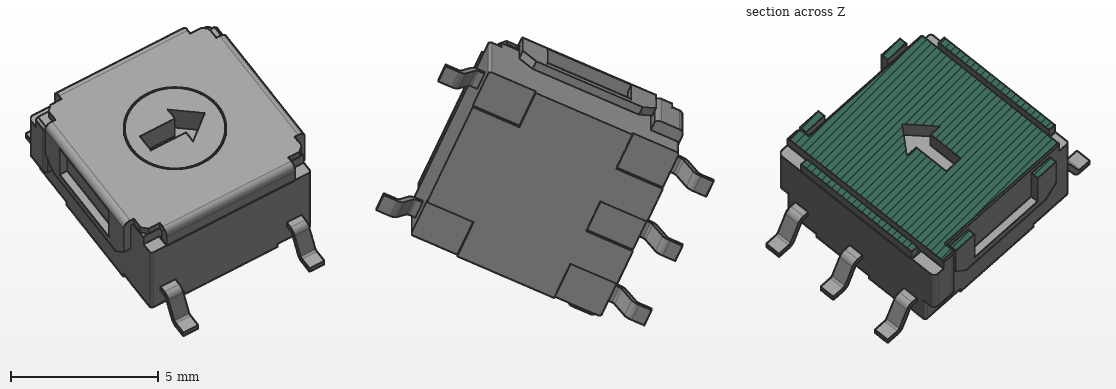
import cadquery as cq
import math

overall_length = 10.0
overall_width = 7.3
overall_height = 4.12

body_length = 7.1
body_width = 6.45
body_bottom = 0.04
body_corner_radius = 0.1
core_length = 6.18
shelf_z = 3.34
top_edge_chamfer = 0.1

wing_bottom = 1.34
wing_length = 1.07
wing_corner_radius = 0.2
wing_inner_radius = 0.25
wing_round_overrun = 0.05

recess_depth = 0.17
corner_recess_length = 1.74
corner_recess_width = 1.35
middle_recess_length = corner_recess_length
middle_recess_width = 1.17

sheet = 0.3
bend_radius = 0.27
cover_plate_length = 6.22
cover_plate_width = 6.48
cover_corner_chamfer = 0.2
end_tab_width = 5.18
end_tab_bottom = shelf_z
end_tab_gap = 0.035
side_tab_width = 4.97
side_tab_bottom = 2.01
side_tab_chamfer = 0.5
window_length = 3.12
window_bottom = 2.34

rotor_diameter = 3.4
cover_hole_diameter = 3.5
arrow_tip_y = 1.2
arrow_shoulder_y = 0.22
arrow_tail_y = -1.19
arrow_head_width = 1.6
arrow_stem_width = 0.7
arrow_depth = 1.0

lead_width = 0.6
lead_thickness = 0.2
lead_pitch = 2.54
lead_top = 1.17
lead_bend_x = 3.97
lead_slope = 2.0
lead_inner_radius = 0.1
lead_root_x = 3.0

body_top = overall_height - sheet
wing_inner_x = wing_length - body_length / 2
lead_tip_x = overall_length / 2
lead_outer_radius = lead_inner_radius + lead_thickness


def block(x_size, y_size, z_low, z_high, x=0.0, y=0.0):
    """Box centred on (x, y) between two heights."""
    base = cq.Workplane("XY", origin=(x, y, z_low))
    return base.rect(x_size, y_size).extrude(z_high - z_low)


def housing():
    lower = block(body_length, body_width, body_bottom, shelf_z)
    lower = lower.edges("|Z").fillet(body_corner_radius)
    core = block(core_length, body_width, shelf_z, body_top)
    core = core.faces(">Z").edges("|X").chamfer(top_edge_chamfer)
    return lower.union(core)


def wings():
    """Full-width bar on the -X side whose two ends form the corner wings."""
    wing_x = (wing_inner_x - body_length / 2) / 2
    full_length = wing_length + wing_round_overrun
    full_x = wing_x + wing_round_overrun / 2
    bar = block(full_length, overall_width, wing_bottom, body_top, full_x)
    bar = bar.edges("|Z and <X").fillet(wing_corner_radius)
    bar = bar.edges("|Z and >X").fillet(wing_inner_radius)
    bar = bar.faces(">Z").edges().chamfer(top_edge_chamfer)
    trim = block(wing_length, overall_width, wing_bottom, body_top, wing_x)
    bar = bar.intersect(trim.edges(">Z and >X").chamfer(top_edge_chamfer))
    step_width = (body_length - core_length) / 2
    step_x = -(body_length + core_length) / 4
    return bar.cut(block(step_width, overall_width, shelf_z, body_top, step_x))


def end_tab_clearances():
    bar = block(body_length, end_tab_width, shelf_z - end_tab_gap, shelf_z)
    return bar.cut(block(core_length, end_tab_width, shelf_z - end_tab_gap, shelf_z))


def underside_recesses():
    recess_top = body_bottom + recess_depth
    middle_x = (middle_recess_length - body_length) / 2
    cutter = block(middle_recess_length, middle_recess_width, body_bottom, recess_top, middle_x)
    corner_x = (body_length - corner_recess_length) / 2
    corner_y = (body_width - corner_recess_width) / 2
    for x in (-corner_x, corner_x):
        for y in (-corner_y, corner_y):
            corner = block(corner_recess_length, corner_recess_width, body_bottom, recess_top, x, y)
            cutter = cutter.union(corner)
    return cutter


def folded_strip(plane, span, strip_width, bottom):
    """Inverted channel: a strip folded down at both ends of its span."""
    half = span / 2
    profile = cq.Workplane(plane).moveTo(-half, bottom).lineTo(-half, overall_height)
    profile = profile.lineTo(half, overall_height).lineTo(half, bottom)
    profile = profile.lineTo(half - sheet, bottom).lineTo(half - sheet, body_top)
    profile = profile.lineTo(sheet - half, body_top).lineTo(sheet - half, bottom).close()
    strip = profile.extrude(strip_width / 2, both=True)
    fold_axis = "|Y" if plane == "XZ" else "|X"
    return strip.faces(">Z").edges(fold_axis).fillet(bend_radius)


def side_strip():
    strip = folded_strip("YZ", overall_width, side_tab_width, side_tab_bottom)
    strip = strip.faces("<Z").edges("|Y").edges("<X or >X").chamfer(side_tab_chamfer)
    window = block(window_length, overall_width, window_bottom, body_top)
    return strip.cut(window)


def cover():
    plate = block(cover_plate_length, cover_plate_width, body_top, overall_height)
    plate = plate.edges("|Z").chamfer(cover_corner_chamfer)
    end_strip = folded_strip("XZ", body_length, end_tab_width, end_tab_bottom)
    hole = cq.Workplane("XY", origin=(0, 0, body_top)).circle(cover_hole_diameter / 2).extrude(sheet)
    return plate.union(end_strip).union(side_strip()).cut(hole)


def rotor():
    return cq.Workplane("XY", origin=(0, 0, body_top)).circle(rotor_diameter / 2).extrude(sheet)


def arrow_slot():
    head = arrow_head_width / 2
    stem = arrow_stem_width / 2
    outline = [
        (0, arrow_tip_y),
        (head, arrow_shoulder_y),
        (stem, arrow_shoulder_y),
        (stem, arrow_tail_y),
        (-stem, arrow_tail_y),
        (-stem, arrow_shoulder_y),
        (-head, arrow_shoulder_y),
    ]
    top = cq.Workplane("XY", origin=(0, 0, overall_height))
    return top.polyline(outline).close().extrude(-arrow_depth)


def lead():
    """Gull-wing lead on the +X side, centred on Y = 0."""
    slope_shift = lead_thickness * math.hypot(1, lead_slope) / lead_slope
    under_z = lead_top - lead_thickness

    def upper_x(z):
        return lead_bend_x + (lead_top - z) / lead_slope

    def lower_x(z):
        return upper_x(z) - slope_shift

    upper_bend = (lead_bend_x, lead_top)
    foot_top_bend = (upper_x(lead_thickness), lead_thickness)
    foot_sole_bend = (lower_x(0), 0)
    under_bend = (lower_x(under_z), under_z)
    outline = [
        (lead_root_x, lead_top),
        upper_bend,
        foot_top_bend,
        (lead_tip_x, lead_thickness),
        (lead_tip_x, 0),
        foot_sole_bend,
        under_bend,
        (lead_root_x, under_z),
    ]
    strip = cq.Workplane("XZ").polyline(outline).close().extrude(lead_width / 2, both=True)
    bends = (
        (upper_bend, lead_outer_radius),
        (foot_sole_bend, lead_outer_radius),
        (foot_top_bend, lead_inner_radius),
        (under_bend, lead_inner_radius),
    )
    for (x, z), radius in bends:
        strip = strip.edges("|Y").edges(cq.NearestToPointSelector((x, 0, z))).fillet(radius)
    return strip


def leads():
    """Three leads on the -X side and two on the +X side."""
    right_lead = lead()
    left_lead = right_lead.mirror("YZ")
    group = left_lead
    for y in (-lead_pitch, lead_pitch):
        group = group.union(left_lead.translate((0, y, 0)))
        group = group.union(right_lead.translate((0, y, 0)))
    return group


result = housing().union(wings()).cut(end_tab_clearances()).cut(underside_recesses())
result = result.union(cover()).union(rotor()).cut(arrow_slot()).union(leads())